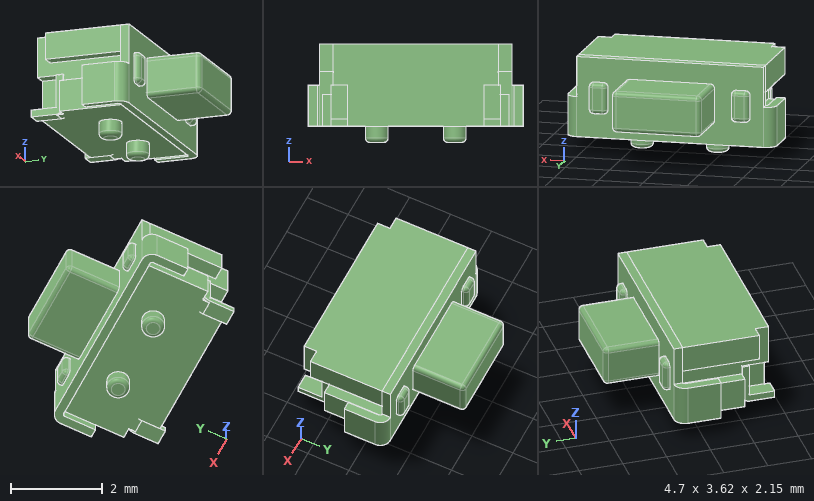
import cadquery as cq


OVERALL_WIDTH = 4.7
BODY_WIDTH = 4.2
BODY_DEPTH = 2.25
BODY_HEIGHT = 1.8

NOSE_WIDTH = 3.6
SHOULDER_END = 1.95
SHOULDER_BOTTOM = 1.2
RAIL_OUTER_WIDTH = 4.08
RAIL_HEIGHT = 0.7

EDGE_RADIUS = 0.1
BOSS_CENTRE_HEIGHT = 0.902
BUTTON_WIDTH = 2.0
BUTTON_HEIGHT = 0.91
BUTTON_REACH = 1.25
STUD_WIDTH = 0.41
STUD_HEIGHT = 0.7
STUD_REACH = 0.14
STUD_X = 1.6
PEG_DIAMETER = 0.5
PEG_LENGTH = 0.352
PEG_X = 0.85
PEG_DEPTH = 0.902

PLATE_THICKNESS = 0.2
TAB_HEIGHT = BODY_HEIGHT / 2
TAB_END = 1.0

TERMINAL_THICKNESS = 0.16
TERMINAL_BEND_RADIUS = TERMINAL_THICKNESS
TERMINAL_OUTER_X = 1.845
TERMINAL_INNER_X = 1.49
TERMINAL_HEIGHT = BODY_HEIGHT / 2
TERMINAL_BACK = 1.64
TERMINAL_REACH = 0.125

SIDES = (-1, 1)


def box_between(x_range, y_range, z_range):
    """Box spanning the given (low, high) ranges along X, Y and Z."""
    lows, highs = zip(x_range, y_range, z_range)
    size = [high - low for low, high in zip(lows, highs)]
    return cq.Workplane("XY").box(*size, centered=False).translate(lows)


def centred_box(width, y_range, z_range):
    """Box of the given width, symmetric about X = 0."""
    return box_between((-width / 2, width / 2), y_range, z_range)


def rear_boss(x_centre, width, height, reach):
    """Boss running from the housing through the plate."""
    return (
        box_between(
            (x_centre - width / 2, x_centre + width / 2),
            (-PLATE_THICKNESS, reach),
            (BOSS_CENTRE_HEIGHT - height / 2, BOSS_CENTRE_HEIGHT + height / 2),
        )
        .edges("|Y or >Y")
        .fillet(EDGE_RADIUS)
    )


def rear_bosses():
    """The button and the two studs that hold the cover plate."""
    button = rear_boss(0, BUTTON_WIDTH, BUTTON_HEIGHT, BUTTON_REACH)
    studs = [rear_boss(side * STUD_X, STUD_WIDTH, STUD_HEIGHT, STUD_REACH) for side in SIDES]
    return [button, *studs]


def locating_peg(side):
    """Round peg under the housing with a rounded tip."""
    return (
        cq.Workplane("XY")
        .center(side * PEG_X, -PEG_DEPTH)
        .circle(PEG_DIAMETER / 2)
        .extrude(-PEG_LENGTH)
        .faces("<Z")
        .edges()
        .fillet(EDGE_RADIUS)
    )


def make_terminal(side):
    """L-shaped terminal: upright leg and a foot pointing to the front."""
    leg_back = -TERMINAL_BACK
    leg_front = leg_back - TERMINAL_THICKNESS
    foot_tip = -BODY_DEPTH - TERMINAL_REACH
    outline = (
        cq.Workplane("YZ", origin=(TERMINAL_INNER_X, 0, 0))
        .moveTo(leg_back, TERMINAL_HEIGHT)
        .lineTo(leg_front, TERMINAL_HEIGHT)
        .lineTo(leg_front, TERMINAL_THICKNESS)
        .lineTo(foot_tip, TERMINAL_THICKNESS)
        .lineTo(foot_tip, 0)
        .lineTo(leg_back - TERMINAL_BEND_RADIUS, 0)
        .radiusArc((leg_back, TERMINAL_BEND_RADIUS), -TERMINAL_BEND_RADIUS)
        .close()
    )
    terminal = outline.extrude(TERMINAL_OUTER_X - TERMINAL_INNER_X)
    return terminal if side > 0 else terminal.mirror("YZ")


def terminal_notch(side):
    """Open pocket in a lower front corner, in front of the terminal leg."""
    x_range = sorted((side * TERMINAL_INNER_X, side * BODY_WIDTH / 2))
    leg_front = -TERMINAL_BACK - TERMINAL_THICKNESS
    return box_between(x_range, (-BODY_DEPTH, leg_front), (0, TERMINAL_HEIGHT))


def make_housing(terminals):
    """Moulded housing with rails, pegs, studs and button, cut for the terminals."""
    core = centred_box(NOSE_WIDTH, (-BODY_DEPTH, -PLATE_THICKNESS), (0, BODY_HEIGHT))
    shoulders = centred_box(
        BODY_WIDTH, (-SHOULDER_END, -PLATE_THICKNESS), (SHOULDER_BOTTOM, BODY_HEIGHT)
    )
    rails = centred_box(RAIL_OUTER_WIDTH, (-TERMINAL_BACK, -PLATE_THICKNESS), (0, RAIL_HEIGHT))
    housing = core.union(shoulders).union(rails)
    for side, terminal in zip(SIDES, terminals):
        housing = housing.cut(terminal_notch(side)).cut(terminal)
        housing = housing.union(locating_peg(side))
    for boss in rear_bosses():
        housing = housing.union(boss)
    return housing


def bent_tab(side):
    """Side tab: quarter bend from the plate edge, then straight to the front."""
    edge_x = side * BODY_WIDTH / 2
    outer_x = side * OVERALL_WIDTH / 2
    inner_x = outer_x - side * PLATE_THICKNESS
    outer_radius = abs(outer_x - edge_x)
    inner_radius = outer_radius - PLATE_THICKNESS
    return (
        cq.Workplane("XY")
        .moveTo(edge_x, 0)
        .radiusArc((outer_x, -outer_radius), side * outer_radius)
        .lineTo(outer_x, -TAB_END)
        .lineTo(inner_x, -TAB_END)
        .lineTo(inner_x, -outer_radius)
        .radiusArc((edge_x, -PLATE_THICKNESS), -side * inner_radius)
        .close()
        .extrude(TAB_HEIGHT)
    )


def make_cover():
    """Rear plate with both tabs and openings for the button and studs."""
    cover = centred_box(BODY_WIDTH, (-PLATE_THICKNESS, 0), (0, BODY_HEIGHT))
    for side in SIDES:
        cover = cover.union(bent_tab(side))
    for boss in rear_bosses():
        cover = cover.cut(boss)
    return cover


terminals = [make_terminal(side) for side in SIDES]
housing = make_housing(terminals)
cover = make_cover()

result = cq.Compound.makeCompound(
    [housing.val(), cover.val(), *[terminal.val() for terminal in terminals]]
)